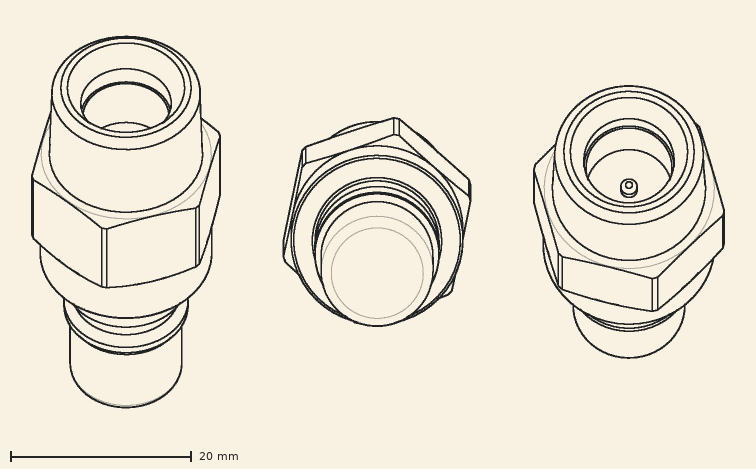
import cadquery as cq
import math

TOTAL_HEIGHT = 48.0
ACROSS_FLATS = 19.0
ACROSS_CORNERS = 21.6

PLUG_RADIUS = 12.4 / 2
TIP_ROUND = 1.1
RIB_RADIUS = 13.75 / 2
RIB_BASE_Z = 9.75
RIB_LOWER_Z = 10.85
RIB_UPPER_Z = 11.75
NECK_RADIUS = 11.75 / 2
NECK_BOTTOM_Z = 12.75
NECK_TOP_Z = 14.4
COLLAR_BOTTOM_Z = 15.2
COLLAR_TOP_Z = 18.65

BODY_RADIUS = ACROSS_FLATS / 2
SHOULDER_FLARE = 0.3
SHOULDER_INNER_Z = 19.05
SHOULDER_OUTER_Z = 19.6
BODY_EDGE_Z = 19.8
BODY_EDGE_INSET = 0.3

HEX_SIDES = 6
HEX_BOTTOM_Z = 25.6
HEX_TOP_Z = 36.7
HEX_TOP_CIRCLE_RADIUS = 18.8 / 2
HEX_BOTTOM_CHAMFER_ANGLE = 30
HEX_TOP_CHAMFER_ANGLE = 15

SPIGOT_BASE_RADIUS = 16.95 / 2
SPIGOT_TOP_RADIUS = 16.4 / 2
SPIGOT_RIM_RADIUS = 14.4 / 2
SPIGOT_CHAMFER_HEIGHT = 0.9

MOUTH_RADIUS = 12.95 / 2
BORE_RADIUS = 10.0 / 2
INNER_BORE_RADIUS = 9.5 / 2
MOUTH_DEPTH = 2.65
BORE_STEP_DEPTH = 4.9
BORE_DEPTH = 11.5
PIN_RADIUS = 1.8 / 2
PIN_TIP_RADIUS = 0.75 / 2
PIN_HEIGHT = 1.45
PIN_TAPER_HEIGHT = 0.55


def revolve_profile(points):
    """Revolve a closed (radius, height) outline around the Z axis."""
    return cq.Workplane("XZ").polyline(points).close().revolve(360, (0, 0), (0, 1))


def make_plug_and_body():
    tip_corner = TIP_ROUND * math.sqrt(0.5)
    return (
        cq.Workplane("XZ")
        .moveTo(0, 0)
        .lineTo(PLUG_RADIUS - TIP_ROUND, 0)
        .threePointArc(
            (PLUG_RADIUS - TIP_ROUND + tip_corner, TIP_ROUND - tip_corner),
            (PLUG_RADIUS, TIP_ROUND),
        )
        .lineTo(PLUG_RADIUS, RIB_BASE_Z)
        .lineTo(RIB_RADIUS, RIB_LOWER_Z)
        .lineTo(RIB_RADIUS, RIB_UPPER_Z)
        .lineTo(NECK_RADIUS, NECK_BOTTOM_Z)
        .lineTo(NECK_RADIUS, NECK_TOP_Z)
        .lineTo(RIB_RADIUS, COLLAR_BOTTOM_Z)
        .lineTo(RIB_RADIUS, COLLAR_TOP_Z)
        .lineTo(RIB_RADIUS + SHOULDER_FLARE, SHOULDER_INNER_Z)
        .lineTo(BODY_RADIUS - BODY_EDGE_INSET, SHOULDER_OUTER_Z)
        .lineTo(BODY_RADIUS, BODY_EDGE_Z)
        .lineTo(BODY_RADIUS, HEX_BOTTOM_Z)
        .lineTo(0, HEX_BOTTOM_Z)
        .close()
        .revolve(360, (0, 0), (0, 1))
    )


def make_hexagon():
    """Hexagon with flats facing +X and -X, trimmed by a double-coned cylinder."""
    corner_radius = ACROSS_CORNERS / 2
    bottom_rise = (corner_radius - BODY_RADIUS) * math.tan(math.radians(HEX_BOTTOM_CHAMFER_ANGLE))
    top_drop = (corner_radius - HEX_TOP_CIRCLE_RADIUS) * math.tan(math.radians(HEX_TOP_CHAMFER_ANGLE))
    sharp_radius = ACROSS_FLATS / 2 / math.cos(math.pi / HEX_SIDES)
    corner_angles = [math.pi / 2 + 2 * math.pi * i / HEX_SIDES for i in range(HEX_SIDES)]
    corners = [(sharp_radius * math.cos(a), sharp_radius * math.sin(a)) for a in corner_angles]
    prism = (
        cq.Workplane("XY", origin=(0, 0, HEX_BOTTOM_Z))
        .polyline(corners)
        .close()
        .extrude(HEX_TOP_Z - HEX_BOTTOM_Z)
    )
    envelope = revolve_profile([
        (0, HEX_BOTTOM_Z),
        (BODY_RADIUS, HEX_BOTTOM_Z),
        (corner_radius, HEX_BOTTOM_Z + bottom_rise),
        (corner_radius, HEX_TOP_Z - top_drop),
        (HEX_TOP_CIRCLE_RADIUS, HEX_TOP_Z),
        (0, HEX_TOP_Z),
    ])
    return prism.intersect(envelope)


def make_spigot():
    return revolve_profile([
        (0, HEX_TOP_Z),
        (SPIGOT_BASE_RADIUS, HEX_TOP_Z),
        (SPIGOT_TOP_RADIUS, TOTAL_HEIGHT - SPIGOT_CHAMFER_HEIGHT),
        (SPIGOT_RIM_RADIUS, TOTAL_HEIGHT),
        (0, TOTAL_HEIGHT),
    ])


def make_bore():
    """Cavity with a flared mouth; the outline runs around the valve pin."""
    floor_z = TOTAL_HEIGHT - BORE_DEPTH
    step_z = TOTAL_HEIGHT - BORE_STEP_DEPTH
    pin_top_z = floor_z + PIN_HEIGHT
    return revolve_profile([
        (0, TOTAL_HEIGHT),
        (MOUTH_RADIUS, TOTAL_HEIGHT),
        (BORE_RADIUS, TOTAL_HEIGHT - MOUTH_DEPTH),
        (BORE_RADIUS, step_z),
        (INNER_BORE_RADIUS, step_z),
        (INNER_BORE_RADIUS, floor_z),
        (PIN_RADIUS, floor_z),
        (PIN_RADIUS, pin_top_z - PIN_TAPER_HEIGHT),
        (PIN_TIP_RADIUS, pin_top_z),
        (0, pin_top_z),
    ])


result = make_plug_and_body().union(make_hexagon()).union(make_spigot()).cut(make_bore())